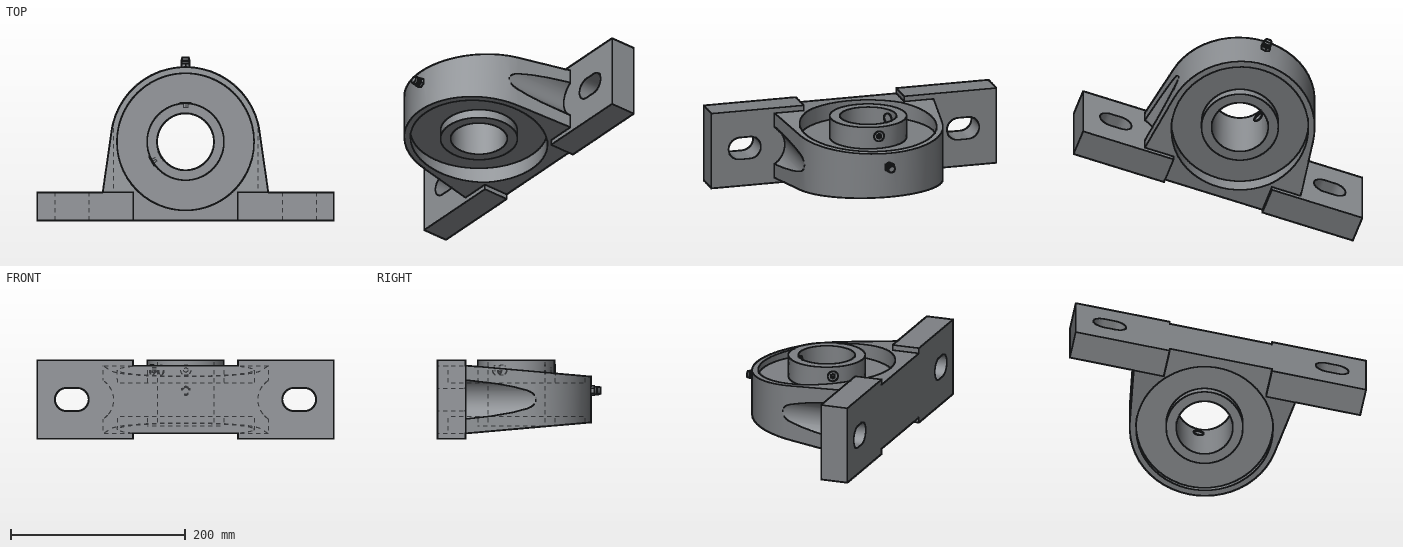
import cadquery as cq
import math


base_length = 340.0
base_height = 32.3
base_width = 90.0
waist_length = 119.7
waist_width = 77.5
slot_length = 38.5
slot_width = 26.2
slot_offset = 130.2

shaft_height = 90.0
dome_radius = 85.7
foot_half_length = 95.0
foot_height = 34.5
crown_width = 52.7
crown_height = shaft_height + dome_radius

scoop_radius = 26.5
scoop_depth = 12.2

recess_diameter = 157.0
recess_floor = 19.5
ring_diameter = 88.0
bore_diameter = 65.0
ring_front = base_width / 2
ring_back = -30.3

screw_diameter = 12.0
screw_socket = 5.5
screw_socket_depth = 5.0
screw_protrusion = 0.7
screw_inset = 0.7
screw_z = 34.0
screw_angles = (90, 210)

nipple_z = 10.2
nipple_root = 3.5
nipple_hex = 11.2
nipple_head_diameter = 9.2
nipple_groove_diameter = 8.0
nipple_tip_diameter = 7.5
nipple_top = 186.5
nipple_head_height = 3.0
nipple_groove_height = 2.0
nipple_collar_height = 2.0
nipple_groove_top = nipple_top - nipple_head_height
nipple_groove_bottom = nipple_groove_top - nipple_groove_height
nipple_collar_bottom = nipple_groove_bottom - nipple_collar_height


def make_base():
    base = cq.Workplane("XY").box(base_length, base_height, base_width, centered=(True, False, True))
    waist_cut = (base_width - waist_width) / 2
    for side in (1, -1):
        step = cq.Workplane("XY").box(waist_length, base_height, waist_cut, centered=(True, False, True))
        base = base.cut(step.translate((0, 0, side * (waist_width + waist_cut) / 2)))
    slots = (
        cq.Workplane("XZ")
        .pushPoints([(-slot_offset, 0), (slot_offset, 0)])
        .slot2D(slot_length, slot_width)
        .extrude(-base_height)
    )
    return base.cut(slots)


def make_housing():
    rise = shaft_height - base_height
    corner_distance = math.hypot(foot_half_length, rise)
    tangent_angle = math.acos(dome_radius / corner_distance) - math.atan2(rise, foot_half_length)
    tangent_x = dome_radius * math.cos(tangent_angle)
    tangent_y = shaft_height + dome_radius * math.sin(tangent_angle)
    outline = (
        cq.Workplane("XY")
        .workplane(offset=-waist_width / 2)
        .moveTo(-foot_half_length, base_height)
        .lineTo(foot_half_length, base_height)
        .lineTo(tangent_x, tangent_y)
        .threePointArc((0, crown_height), (-tangent_x, tangent_y))
        .close()
        .extrude(waist_width)
    )
    profile = (
        cq.Workplane("YZ")
        .polyline([
            (base_height, -waist_width / 2),
            (foot_height, -waist_width / 2),
            (crown_height, -crown_width / 2),
            (crown_height, crown_width / 2),
            (foot_height, waist_width / 2),
            (base_height, waist_width / 2),
        ])
        .close()
        .extrude(foot_half_length, both=True)
    )
    scoop_x = foot_half_length - scoop_depth + scoop_radius
    scoops = (
        cq.Workplane("XZ", origin=(0, base_height, 0))
        .pushPoints([(-scoop_x, 0), (scoop_x, 0)])
        .circle(scoop_radius)
        .extrude(base_height - crown_height)
    )
    return outline.intersect(profile).cut(scoops)


def shaft_cylinder(diameter, z_start, z_end):
    return (
        cq.Workplane("XY", origin=(0, shaft_height, z_start))
        .circle(diameter / 2)
        .extrude(z_end - z_start)
    )


def screw_plane(angle, radius):
    direction = cq.Vector(math.cos(math.radians(angle)), math.sin(math.radians(angle)), 0)
    origin = cq.Vector(0, shaft_height, screw_z) + direction * radius
    return cq.Plane(origin=origin, xDir=(0, 0, 1), normal=direction)


def make_screw_hole(angle):
    return cq.Workplane(screw_plane(angle, 0)).circle(screw_diameter / 2).extrude(ring_diameter / 2)


def make_set_screw(angle):
    inner_end = bore_diameter / 2 + screw_inset
    outer_end = ring_diameter / 2 + screw_protrusion
    screw_length = outer_end - inner_end
    screw = cq.Workplane(screw_plane(angle, inner_end)).circle(screw_diameter / 2).extrude(screw_length)
    socket = cq.Workplane(screw_plane(angle, outer_end)).polygon(6, screw_socket).extrude(-screw_socket_depth)
    return screw.cut(socket)


def make_nipple():
    root = crown_height - nipple_root
    hex_body = (
        cq.Workplane("XZ", origin=(0, root, nipple_z))
        .transformed(rotate=(0, 0, 90))
        .polygon(6, nipple_hex)
        .extrude(root - nipple_collar_bottom)
    )
    head = (
        cq.Workplane("XY", origin=(0, 0, nipple_z))
        .polyline([
            (0, root),
            (nipple_head_diameter / 2, root),
            (nipple_head_diameter / 2, nipple_groove_bottom),
            (nipple_groove_diameter / 2, nipple_groove_bottom),
            (nipple_groove_diameter / 2, nipple_groove_top),
            (nipple_head_diameter / 2, nipple_groove_top),
            (nipple_tip_diameter / 2, nipple_top),
            (0, nipple_top),
        ])
        .close()
        .revolve(360, (0, 0, 0), (0, 1, 0))
    )
    return hex_body.union(head)


body = make_base().union(make_housing())
body = body.cut(shaft_cylinder(recess_diameter, recess_floor, base_width))
body = body.cut(shaft_cylinder(recess_diameter, -base_width, -recess_floor))
body = body.union(shaft_cylinder(ring_diameter, ring_back, ring_front))
body = body.cut(shaft_cylinder(bore_diameter, -base_width, base_width))
for angle in screw_angles:
    body = body.cut(make_screw_hole(angle)).union(make_set_screw(angle))
result = body.union(make_nipple())